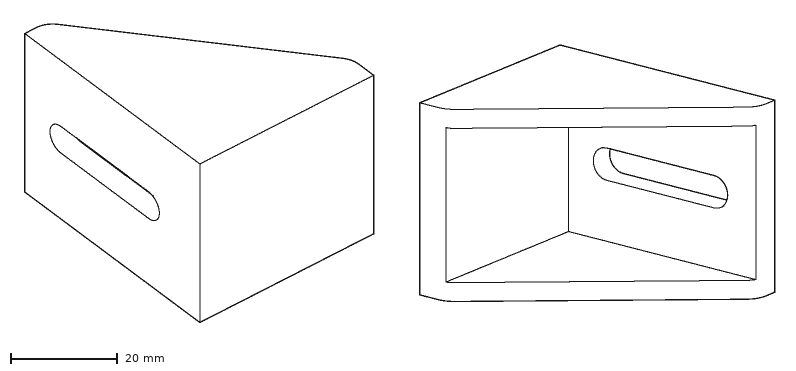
import cadquery as cq

length = 51.55
depth = 41.9
height = 38.1
side_lean = 0.7

cheek_thickness = 3.75
front_thickness = 5.0
side_thickness = 6.0

front_land = 5.0
back_land = 6.2
corner_radius = 5.0

slot_length = 31.75
slot_width = 6.4
slot_start = 7.3

side_slope = side_lean / depth


def side_face_x(y):
    """X of the leaning outer side face at depth y."""
    return length - side_lean + side_slope * y


def make_body():
    outline = [
        (0, 0),
        (side_face_x(0), 0),
        (length, depth),
        (length - back_land, depth),
        (0, front_land),
    ]
    body = cq.Workplane("XY").polyline(outline).close().extrude(height)
    slope_corners = [(0, front_land), (length - back_land, depth)]
    for x, y in slope_corners:
        corner = cq.selectors.NearestToPointSelector((x, y, height / 2))
        body = body.edges("|Z").edges(corner).fillet(corner_radius)
    return body


def make_pocket():
    """Space between the plates, open through the sloping edge."""
    outline = [
        (0, front_thickness),
        (side_face_x(front_thickness) - side_thickness, front_thickness),
        (side_face_x(depth) - side_thickness, depth),
        (0, depth),
    ]
    pocket = cq.Workplane("XY").workplane(offset=cheek_thickness).polyline(outline).close()
    return pocket.extrude(height - 2 * cheek_thickness)


def make_slot():
    slot_center_x = slot_start + slot_length / 2
    slot = cq.Workplane("XZ").center(slot_center_x, height / 2).slot2D(slot_length, slot_width)
    return slot.extrude(-front_thickness)


result = make_body().cut(make_pocket()).cut(make_slot())